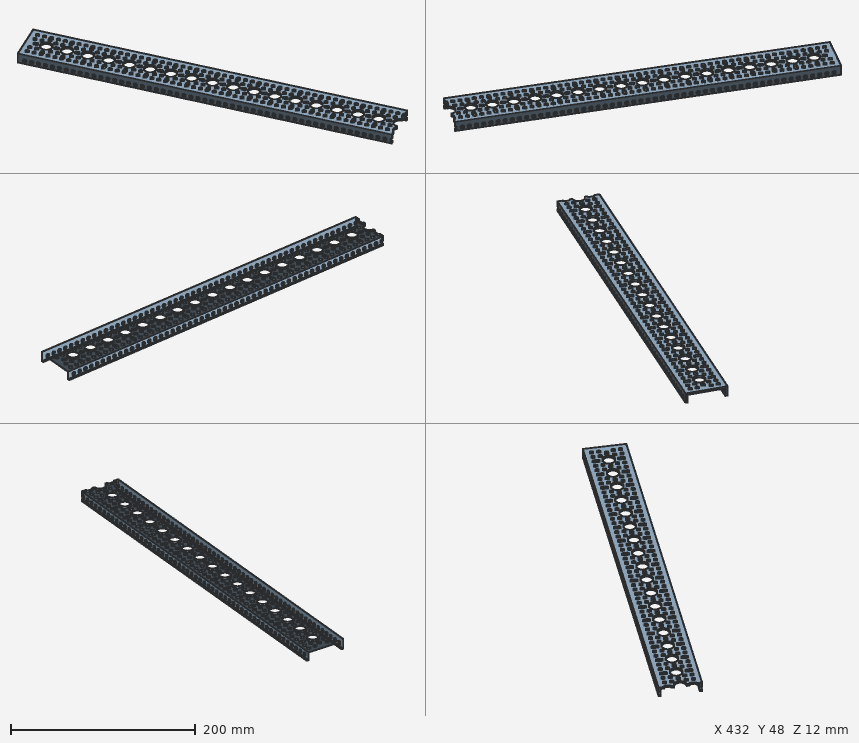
import cadquery as cq

length = 432.0
column_count = 54
pitch = length / column_count
width = 6 * pitch
height = 1.5 * pitch
wall = 2.5

columns_per_hub = 3
hub_diameter = 1.75 * pitch
bolt_diameter = pitch / 2
inner_row = pitch
outer_row = 2 * pitch
cross_slot_length = pitch
cross_slot_y = outer_row + bolt_diameter / 2 - cross_slot_length / 2
centre_slot_length = 5.5
flange_hole_z = pitch / 2

columns = range(1, column_count + 1)
flange_hole_x = [column * pitch for column in columns]
bolt_x = [column * pitch for column in columns if column % columns_per_hub]
hub_x = [column * pitch for column in columns if column % columns_per_hub == 0]
centre_slot_x = [x - columns_per_hub * pitch / 2 for x in hub_x]


def bar(bar_width, bar_height):
    """Full-length bar standing on the XY plane and centred across Y."""
    return cq.Workplane("XY").box(length, bar_width, bar_height, centered=(False, True, False))


def web_at(points):
    """Workplane on the underside of the web with the given XY points on its stack."""
    return cq.Workplane("XY").workplane(offset=height - wall).pushPoints(points)


def on_centreline(x_places):
    """One point on the centreline at every X place."""
    return [(x, 0) for x in x_places]


def on_both_sides(x_places, *row_distances):
    """Points at every X place on both sides of the centreline."""
    return [(x, side * y) for x in x_places for y in row_distances for side in (-1, 1)]


hub_holes = web_at(on_centreline(hub_x)).circle(hub_diameter / 2).extrude(wall)
centre_slots = web_at(on_centreline(centre_slot_x)).slot2D(centre_slot_length, bolt_diameter).extrude(wall)
bolt_holes = web_at(on_both_sides(bolt_x, inner_row, outer_row)).circle(bolt_diameter / 2).extrude(wall)
cross_slots = (
    web_at(on_both_sides(hub_x, cross_slot_y))
    .slot2D(cross_slot_length, bolt_diameter, angle=90)
    .extrude(wall)
)

flange_holes = (
    cq.Workplane("XZ")
    .pushPoints([(x, flange_hole_z) for x in flange_hole_x])
    .circle(bolt_diameter / 2)
    .extrude(width / 2, both=True)
)

result = bar(width, height).cut(bar(width - 2 * wall, height - wall))
for openings in (hub_holes, centre_slots, bolt_holes, cross_slots, flange_holes):
    result = result.cut(openings)